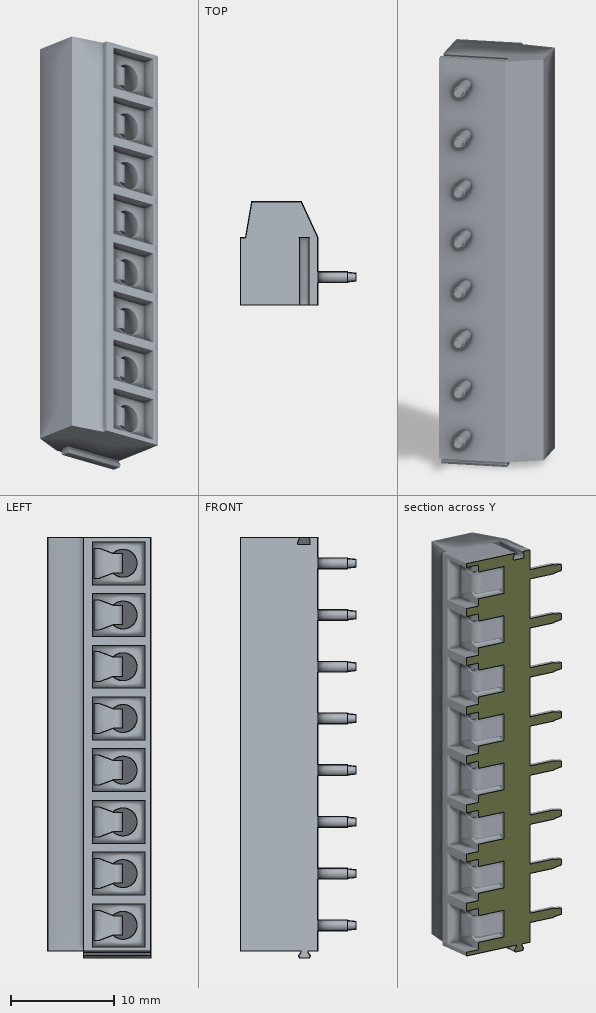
import cadquery as cq
import math

POLES = 8
PITCH = 5.0
HOUSING_HEIGHT = POLES * PITCH
HOUSING_WIDTH = 7.5
HOUSING_DEPTH = 10.0
SHOULDER_Y = 6.53
SHOULDER_LEDGE = 0.5
CROWN_LEFT_X = 1.1
CROWN_RIGHT_X = 5.9

POCKET_BOTTOM_Y = 0.6
POCKET_TOP_Y = 5.65
POCKET_HEIGHT = 4.15
POCKET_DEPTH = 1.4

CONTACT_Y = 2.7
HOLE_DIAMETER = 2.7
HOLE_DEPTH = 3.0

LEAF_THICKNESS = 0.14
LEAF_TOP_Y = 5.53
LEAF_TOP_BEND = 1.1
LEAF_BEND_Y = 5.03
LEAF_TIP_Y = 2.75
LEAF_TIP_BEND = 0.75
LEAF_WIDE = 2.9
LEAF_NARROW = 1.85
LEAF_TAPER_START_Y = 5.0
LEAF_TAPER_END_Y = 3.6

PIN_DIAMETER = 1.06
PIN_LENGTH = 3.7
PIN_TIP_LENGTH = 0.85
PIN_TIP_BASE_DIAMETER = 0.95
PIN_TIP_END_DIAMETER = 0.75

DOVETAIL_X = 6.2
TONGUE_HEIGHT = 0.68
TONGUE_NECK_WIDTH = 0.7
TONGUE_WIDTH = 1.15
TONGUE_NECK_HEIGHT = 0.12
TONGUE_FLARE_END = 0.43
TONGUE_CHAMFER_WIDTH = 0.12
TONGUE_CHAMFER_HEIGHT = 0.22
GROOVE_DEPTH = TONGUE_HEIGHT
GROOVE_NECK_DEPTH = 0.1
GROOVE_NECK_LEFT_X = 5.7
GROOVE_NECK_RIGHT_X = 6.65
GROOVE_LEFT_X = 5.52
GROOVE_LEFT_FLARE_END = 0.52
GROOVE_LEFT_CHAMFER = 0.06
GROOVE_RIGHT_X = 6.75
GROOVE_RIGHT_FLARE_END = 0.3


def pole_centres():
    """Mid-heights of the poles along Z."""
    return [(index + 0.5) * PITCH for index in range(POLES)]


def make_housing():
    """Prism with sloping upper sides, extruded along the row of poles."""
    return (
        cq.Workplane("XY")
        .moveTo(0, 0)
        .lineTo(HOUSING_WIDTH, 0)
        .lineTo(HOUSING_WIDTH, SHOULDER_Y)
        .lineTo(CROWN_RIGHT_X, HOUSING_DEPTH)
        .lineTo(CROWN_LEFT_X, HOUSING_DEPTH)
        .lineTo(SHOULDER_LEDGE, SHOULDER_Y)
        .lineTo(0, SHOULDER_Y)
        .close()
        .extrude(HOUSING_HEIGHT)
    )


def make_pocket(z):
    """Rectangular pocket with a round blind hole in its floor."""
    pocket = cq.Workplane("XY").box(
        POCKET_DEPTH, POCKET_TOP_Y - POCKET_BOTTOM_Y, POCKET_HEIGHT, centered=(False, False, True)
    ).translate((0, POCKET_BOTTOM_Y, z))
    hole = (
        cq.Workplane("YZ", origin=(POCKET_DEPTH, CONTACT_Y, z))
        .circle(HOLE_DIAMETER / 2)
        .extrude(HOLE_DEPTH)
    )
    return pocket.union(hole)


def make_leaf(z):
    """Tapered leaf whose top end sinks gently and whose tip dips to the bottom of the wire hole."""
    face_x = POCKET_DEPTH - LEAF_THICKNESS
    back_x = POCKET_DEPTH + HOLE_DEPTH
    bend_run = LEAF_TOP_Y - LEAF_BEND_Y
    top_drop = LEAF_TOP_BEND - math.sqrt(LEAF_TOP_BEND**2 - bend_run**2)
    side_profile = (
        cq.Workplane("XY")
        .moveTo(face_x, LEAF_BEND_Y)
        .radiusArc((face_x + top_drop, LEAF_TOP_Y), LEAF_TOP_BEND)
        .lineTo(back_x, LEAF_TOP_Y)
        .lineTo(back_x, LEAF_TIP_Y)
        .lineTo(face_x + LEAF_TIP_BEND, LEAF_TIP_Y)
        .radiusArc((face_x, LEAF_TIP_Y + LEAF_TIP_BEND), LEAF_TIP_BEND)
        .close()
        .extrude(LEAF_WIDE / 2, both=True)
    )
    outline = (
        cq.Workplane("YZ")
        .moveTo(LEAF_TOP_Y, LEAF_WIDE / 2)
        .lineTo(LEAF_TAPER_START_Y, LEAF_WIDE / 2)
        .lineTo(LEAF_TAPER_END_Y, LEAF_NARROW / 2)
        .lineTo(LEAF_TIP_Y, LEAF_NARROW / 2)
        .lineTo(LEAF_TIP_Y, 0)
        .lineTo(LEAF_TOP_Y, 0)
        .close()
        .extrude(back_x)
    )
    outline = outline.union(outline.mirror("XY"))
    return side_profile.intersect(outline).translate((0, 0, z))


def make_pin(z):
    """Round solder pin with a stepped, slightly tapered tip."""
    shank_length = PIN_LENGTH - PIN_TIP_LENGTH
    start = cq.Workplane("YZ", origin=(HOUSING_WIDTH, CONTACT_Y, z))
    shank = start.circle(PIN_DIAMETER / 2).extrude(shank_length)
    tip = (
        start.workplane(offset=shank_length)
        .circle(PIN_TIP_BASE_DIAMETER / 2)
        .workplane(offset=PIN_TIP_LENGTH)
        .circle(PIN_TIP_END_DIAMETER / 2)
        .loft()
    )
    return shank.union(tip)


def make_tongue():
    """Flared rail under the lower end of the housing."""
    neck = TONGUE_NECK_WIDTH / 2
    half = TONGUE_WIDTH / 2
    return (
        cq.Workplane("XZ", origin=(DOVETAIL_X, 0, 0))
        .moveTo(-neck, 0)
        .lineTo(neck, 0)
        .lineTo(neck, -TONGUE_NECK_HEIGHT)
        .lineTo(half, -TONGUE_FLARE_END)
        .lineTo(half, TONGUE_CHAMFER_HEIGHT - TONGUE_HEIGHT)
        .lineTo(half - TONGUE_CHAMFER_WIDTH, -TONGUE_HEIGHT)
        .lineTo(TONGUE_CHAMFER_WIDTH - half, -TONGUE_HEIGHT)
        .lineTo(-half, TONGUE_CHAMFER_HEIGHT - TONGUE_HEIGHT)
        .lineTo(-half, -TONGUE_FLARE_END)
        .lineTo(-neck, -TONGUE_NECK_HEIGHT)
        .close()
        .extrude(-SHOULDER_Y)
    )


def make_groove():
    """Undercut channel in the upper end that receives a neighbour's tongue."""
    return (
        cq.Workplane("XZ", origin=(0, 0, HOUSING_HEIGHT))
        .moveTo(GROOVE_NECK_LEFT_X, 0)
        .lineTo(GROOVE_NECK_LEFT_X, -GROOVE_NECK_DEPTH)
        .lineTo(GROOVE_LEFT_X, -GROOVE_LEFT_FLARE_END)
        .lineTo(GROOVE_LEFT_X + GROOVE_LEFT_CHAMFER, -GROOVE_DEPTH)
        .lineTo(GROOVE_RIGHT_X, -GROOVE_DEPTH)
        .lineTo(GROOVE_RIGHT_X, -GROOVE_RIGHT_FLARE_END)
        .lineTo(GROOVE_NECK_RIGHT_X, -GROOVE_NECK_DEPTH)
        .lineTo(GROOVE_NECK_RIGHT_X, 0)
        .close()
        .extrude(-SHOULDER_Y)
    )


result = make_housing().cut(make_groove()).union(make_tongue())
for pole_z in pole_centres():
    result = result.cut(make_pocket(pole_z))
    result = result.union(make_leaf(pole_z))
    result = result.union(make_pin(pole_z))